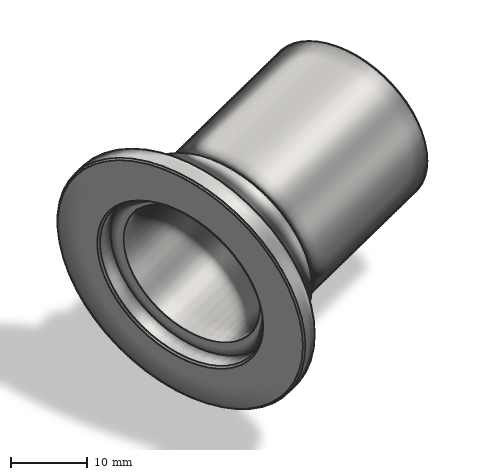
import cadquery as cq
import math

flange_radius = 20.0
total_length = 37.95

tube_radius = 12.75
bore_radius = 11.0
collar_radius = 14.3
collar_end = 9.95
edge_chamfer = 0.3

face_chamfer = 0.25
shoulder_start = 1.9
shoulder_radius = 1.5
taper_angle = math.radians(15)

recess_radius = 13.1
recess_depth = 2.6
recess_chamfer = 0.3

shoulder_center = flange_radius - shoulder_radius


def shoulder_point(angle):
    """Point on the shoulder arc, with the angle measured from the radial direction."""
    return (
        shoulder_center + shoulder_radius * math.cos(angle),
        shoulder_start + shoulder_radius * math.sin(angle),
    )


shoulder_sweep = math.pi / 2 - taper_angle
shoulder_middle = shoulder_point(shoulder_sweep / 2)
shoulder_end = shoulder_point(shoulder_sweep)
taper_end = shoulder_end[1] + (shoulder_end[0] - collar_radius) * math.tan(taper_angle)

section = (
    cq.Workplane("XY")
    .moveTo(recess_radius + recess_chamfer, 0)
    .lineTo(flange_radius - face_chamfer, 0)
    .lineTo(flange_radius, face_chamfer)
    .lineTo(flange_radius, shoulder_start)
    .threePointArc(shoulder_middle, shoulder_end)
    .lineTo(collar_radius, taper_end)
    .lineTo(collar_radius, collar_end - edge_chamfer)
    .lineTo(collar_radius - edge_chamfer, collar_end)
    .lineTo(tube_radius, collar_end)
    .lineTo(tube_radius, total_length - edge_chamfer)
    .lineTo(tube_radius - edge_chamfer, total_length)
    .lineTo(bore_radius, total_length)
    .lineTo(bore_radius, recess_depth)
    .lineTo(recess_radius, recess_depth)
    .lineTo(recess_radius, recess_chamfer)
    .close()
)

result = section.revolve(360, (0, 0, 0), (0, 1, 0))